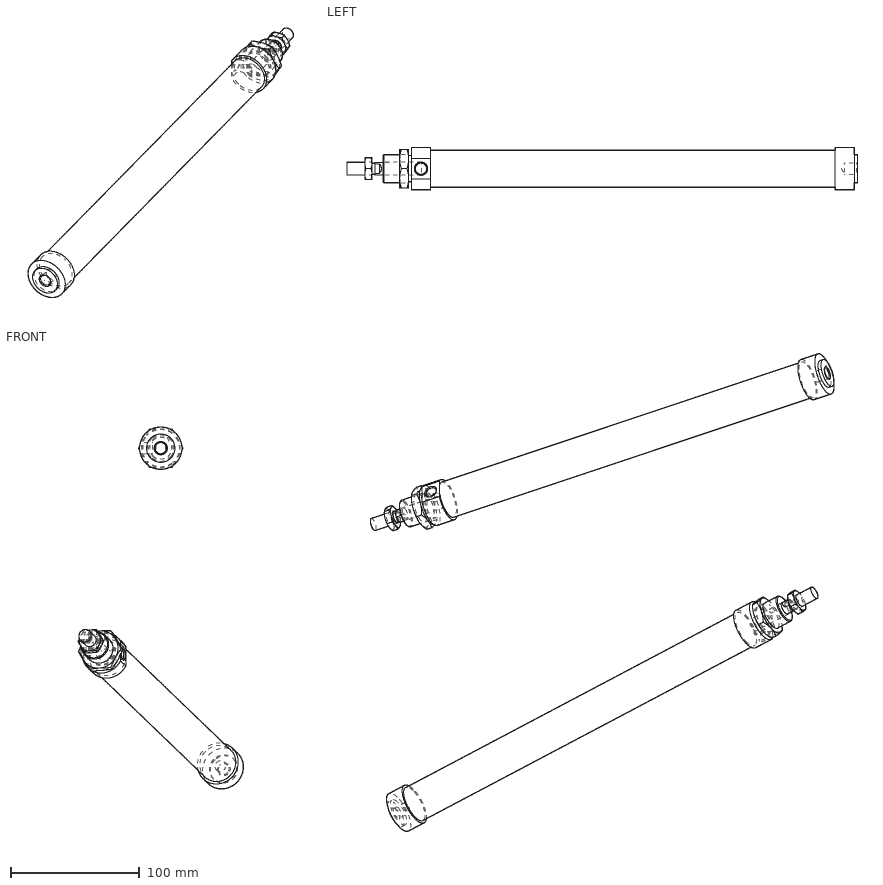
import cadquery as cq
import math

overall_length = 396.5

tube_diameter = 29.0
cover_diameter = 33.0
boss_diameter = 22.0
rear_boss_length = 2.6
rear_cover_length = 14.9
front_cover_length = 15.1
front_boss_length = 22.0
boss_chamfer = 0.75
relief_diameter = 20.5
relief_length = 2.0

rear_port_diameter = 8.7
rear_port_depth = 10.0
side_port_diameter = 8.75
side_port_depth = 8.0
port_mouth_chamfer = 0.8
drill_point_angle = 118.0

rod_diameter = 10.0
boss_to_tip = 28.0
thread_end_to_tip = 19.5
neck_diameter = 8.8
neck_length = 2.2
wrench_width = 7.0
wrench_length = 3.6
rod_bore_depth = 30.0

rod_nut_width = 17.0
rod_nut_thickness = 5.5
mounting_nut_width = 30.0
mounting_nut_thickness = 7.0
nut_chamfer_angle = 30.0

tip_y = overall_length / 2
boss_front_y = tip_y - boss_to_tip
cover_front_y = boss_front_y - front_boss_length
relief_front_y = cover_front_y + relief_length
tube_front_y = cover_front_y - front_cover_length
rear_y = -overall_length / 2
rear_cover_y = rear_y + rear_boss_length
tube_rear_y = rear_cover_y + rear_cover_length
rod_nut_y = tip_y - thread_end_to_tip
neck_rear_y = rod_nut_y - neck_length
rod_rear_y = boss_front_y - rod_bore_depth


def round_bar(diameter, start_y, end_y):
    """Solid round bar on the Y axis."""
    bar = cq.Workplane("XZ", origin=(0, start_y, 0)).circle(diameter / 2)
    return bar.extrude(start_y - end_y)


def port_hole(diameter, depth, point_depth=0):
    """Blind hole from the origin along +Z: countersunk mouth, optional conical bottom."""
    radius = diameter / 2
    mouth = cq.Solid.makeCone(radius + port_mouth_chamfer, radius, port_mouth_chamfer)
    hole = cq.Workplane("XY").circle(radius).extrude(depth).union(cq.Workplane(mouth))
    if point_depth > 0:
        point = cq.Solid.makeCone(radius, 0, point_depth, pnt=cq.Vector(0, 0, depth))
        hole = hole.union(cq.Workplane(point))
    return hole


def hexagon_nut(width, thickness, bore, start_y):
    """Hexagon nut with chamfered corners, its corners on the X axis and flats facing +Z and -Z."""
    corner_diameter = width / math.cos(math.radians(30))
    end_y = start_y + thickness
    blank = cq.Workplane("XZ", origin=(0, start_y, 0)).polygon(6, corner_diameter).extrude(-thickness)
    corner_height = (corner_diameter - width) / 2
    chamfer_depth = corner_height * math.tan(math.radians(nut_chamfer_angle))
    envelope = round_bar(corner_diameter, start_y, end_y)
    envelope = envelope.faces("<Y or >Y").chamfer(chamfer_depth, corner_height)
    return blank.intersect(envelope).cut(round_bar(bore, start_y, end_y))


def make_front_cover():
    """Round cover with one flat on -X, level with the tube surface, and a port in it."""
    middle_y = (tube_front_y + cover_front_y) / 2
    flat_x = -tube_diameter / 2
    cutter = cq.Workplane("XY").box(cover_diameter, front_cover_length, cover_diameter)
    cutter = cutter.translate((flat_x - cover_diameter / 2, middle_y, 0))
    side_port = port_hole(side_port_diameter, side_port_depth)
    side_port = side_port.rotate((0, 0, 0), (0, 1, 0), 90).translate((flat_x, middle_y, 0))
    cover = round_bar(cover_diameter, tube_front_y, cover_front_y).cut(cutter)
    return cover.cut(side_port)


def make_rear_port():
    """Hole into the rear boss along +Y, ending in a drill point."""
    point_depth = rear_port_diameter / 2 / math.tan(math.radians(drill_point_angle / 2))
    port = port_hole(rear_port_diameter, rear_port_depth, point_depth)
    return port.rotate((0, 0, 0), (1, 0, 0), -90).translate((0, rear_y, 0))


def make_housing():
    front_cover = make_front_cover()
    front_boss = round_bar(boss_diameter, relief_front_y, boss_front_y)
    front_boss = front_boss.faces(">Y").chamfer(boss_chamfer)
    body = (
        round_bar(boss_diameter, rear_y, rear_cover_y)
        .union(round_bar(cover_diameter, rear_cover_y, tube_rear_y))
        .union(round_bar(tube_diameter, tube_rear_y, tube_front_y))
        .union(front_cover)
        .union(round_bar(relief_diameter, cover_front_y, relief_front_y))
        .union(front_boss)
    )
    rod_bore = round_bar(rod_diameter, rod_rear_y, boss_front_y)
    return body.cut(make_rear_port()).cut(rod_bore)


def make_wrench_flat():
    """Cutter for the +X wrench flat, running out of the rod at 45 degrees toward the boss."""
    flat_x = wrench_width / 2
    rod_radius = rod_diameter / 2
    flat_end_y = neck_rear_y - wrench_length
    run_out_y = flat_end_y - (rod_radius - flat_x)
    return (
        cq.Workplane("XY", origin=(0, 0, -rod_radius))
        .moveTo(flat_x, neck_rear_y)
        .lineTo(flat_x, flat_end_y)
        .lineTo(rod_radius, run_out_y)
        .lineTo(rod_radius, neck_rear_y)
        .close()
        .extrude(rod_diameter)
    )


def make_rod():
    flat = make_wrench_flat()
    shank = round_bar(rod_diameter, rod_rear_y, neck_rear_y).cut(flat).cut(flat.mirror("YZ"))
    neck = round_bar(neck_diameter, neck_rear_y, rod_nut_y)
    thread = round_bar(rod_diameter, rod_nut_y, tip_y)
    return shank.union(neck).union(thread)


housing = make_housing()
rod = make_rod()
rod_nut = hexagon_nut(rod_nut_width, rod_nut_thickness, rod_diameter, rod_nut_y)
mounting_nut = hexagon_nut(mounting_nut_width, mounting_nut_thickness, boss_diameter, relief_front_y)

result = cq.Compound.makeCompound([housing.val(), rod.val(), rod_nut.val(), mounting_nut.val()])